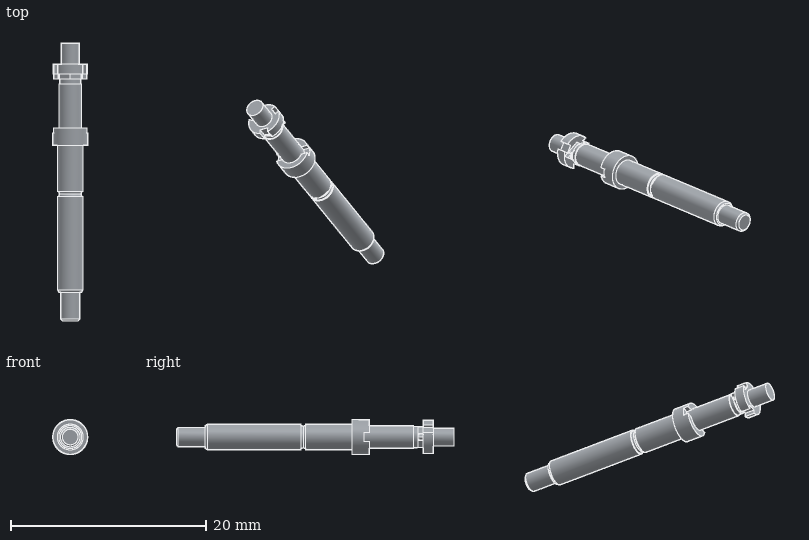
import cadquery as cq

collar_top = 1.8
barrel_top = 6.32
neck_top = 6.8
flange_bottom = 7.32
flange_top = 8.35
plunger_top = 10.5
groove_top = -4.73
groove_bottom = -5.23
body_bottom = -15.05
pin_bottom = -18.0

plunger_radius = 0.925
flange_radius = 1.75
neck_radius = 1.1
barrel_radius = 1.175
collar_radius = 1.8
body_radius = 1.325
groove_edge_radius = 1.2
groove_middle_radius = 1.12
pin_radius = 1.0

body_chamfer_length = 0.25
body_chamfer_inset = 0.15
pin_chamfer = 0.2

flange_slot_angles = (30, 150, 270)
flange_slot_width = 0.84
flange_slot_floor_radius = 1.25

driver_half_width = 1.7
driver_half_height = 1.08
slit_inner_radius = 1.18
slit_outer_radius = 1.27
slit_web = 0.08

notch_width = 0.94
notch_depth = 0.53


def plane_at(y):
    """XZ work plane at a station; its normal points toward -Y."""
    return cq.Workplane("XZ", origin=(0, y, 0))


def cylinder(radius, y_bottom, y_top):
    """Solid cylinder around the Y axis between two stations."""
    return plane_at(y_bottom).circle(radius).extrude(y_bottom - y_top)


def ring(outer_radius, inner_radius, y_bottom, y_top):
    """Ring around the Y axis between two stations."""
    return (
        plane_at(y_bottom)
        .circle(outer_radius)
        .circle(inner_radius)
        .extrude(y_bottom - y_top)
    )


def make_plunger():
    return cylinder(plunger_radius, flange_bottom, plunger_top)


def make_flange():
    flange = cylinder(flange_radius, flange_bottom, flange_top)
    slot_length = flange_radius
    slot_center = flange_slot_floor_radius + slot_length / 2
    for angle in flange_slot_angles:
        slot = (
            plane_at(flange_bottom)
            .center(slot_center, 0)
            .rect(slot_length, flange_slot_width)
            .extrude(flange_bottom - flange_top)
            .rotate((0, 0, 0), (0, 1, 0), -angle)
        )
        flange = flange.cut(slot)
    return flange


def make_driver():
    corners = [
        (driver_half_width, 0),
        (0, driver_half_height),
        (-driver_half_width, 0),
        (0, -driver_half_height),
    ]
    driver = plane_at(neck_top).polyline(corners).close().extrude(neck_top - flange_bottom)
    slit = ring(slit_outer_radius, slit_inner_radius, neck_top + slit_web, flange_bottom)
    return driver.cut(slit)


def make_barrel():
    neck = cylinder(neck_radius, barrel_top, neck_top)
    return cylinder(barrel_radius, 0, barrel_top).union(neck)


def make_collar():
    collar = cylinder(collar_radius, 0, collar_top)
    notches = (
        plane_at(collar_top)
        .rect(2 * collar_radius, notch_width)
        .extrude(notch_depth)
    )
    return collar.cut(notches)


def make_body():
    groove_middle = (groove_top + groove_bottom) / 2
    profile = [
        (0, 0),
        (body_radius, 0),
        (body_radius, groove_top),
        (groove_edge_radius, groove_top),
        (groove_middle_radius, groove_middle),
        (groove_edge_radius, groove_bottom),
        (body_radius, groove_bottom),
        (body_radius, body_bottom + body_chamfer_length),
        (body_radius - body_chamfer_inset, body_bottom),
        (pin_radius, body_bottom),
        (pin_radius, pin_bottom + pin_chamfer),
        (pin_radius - pin_chamfer, pin_bottom),
        (0, pin_bottom),
    ]
    return cq.Workplane("XY").polyline(profile).close().revolve(360, (0, 0), (0, 1))


result = (
    make_body()
    .union(make_collar())
    .union(make_barrel())
    .union(make_driver())
    .union(make_flange())
    .union(make_plunger())
)